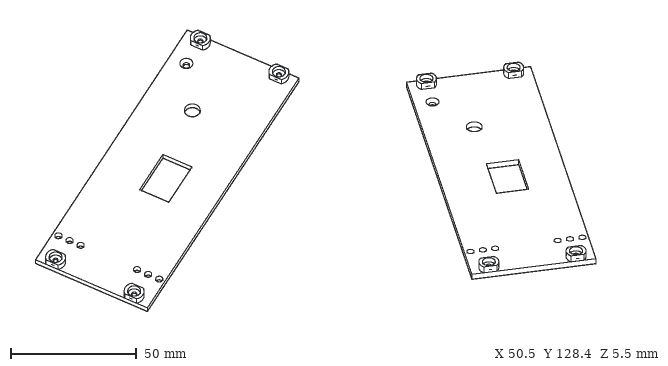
import cadquery as cq

PANEL_WIDTH = 50.5
PANEL_LENGTH = 128.4
TOTAL_HEIGHT = 5.5
PANEL_THICKNESS = 2.6

BOSS_DIAMETER = 8.0
BOSS_FLAT_WIDTH = 5.9
BOSS_HEIGHT = TOTAL_HEIGHT - PANEL_THICKNESS
BOSS_BORE_DIAMETER = 5.1
BOSS_FLOOR = 0.9
SCREW_HOLE_DIAMETER = 2.0
COLUMN_X = 17.7
BOSS_Y = PANEL_LENGTH / 2 - BOSS_FLAT_WIDTH / 2
BOSS_CENTRES = [(x, y) for x in (-COLUMN_X, COLUMN_X) for y in (-BOSS_Y, BOSS_Y)]

ROW_Y = -49.4
ROW_HOLE_DIAMETER = 2.8
ROW_HOLE_PITCH = 5.0
ROW_HOLE_CENTRES = [
    (side * COLUMN_X + step * ROW_HOLE_PITCH, ROW_Y)
    for side in (-1, 1)
    for step in (-1, 0, 1)
]

COUNTERSINK_CENTRE = (-COLUMN_X, -ROW_Y)
COUNTERSINK_DIAMETER = 5.1
COUNTERSINK_HOLE_DIAMETER = 2.7
COUNTERSINK_DEPTH = 1.3

ROUND_HOLE_CENTRE = (-4.8, 30.2)
ROUND_HOLE_DIAMETER = 6.3
WINDOW_CENTRE = (1.7, -4.4)
WINDOW_WIDTH = 13.1
WINDOW_LENGTH = 19.6


def through_holes(centres, diameter):
    """Cylinders that pass through the whole panel thickness."""
    return cq.Workplane("XY").pushPoints(centres).circle(diameter / 2).extrude(PANEL_THICKNESS)


def countersink():
    """Cone that narrows from the panel's top face down to its screw hole."""
    return (
        cq.Workplane("XY", origin=(*COUNTERSINK_CENTRE, PANEL_THICKNESS))
        .circle(COUNTERSINK_DIAMETER / 2)
        .workplane(offset=-COUNTERSINK_DEPTH)
        .circle(COUNTERSINK_HOLE_DIAMETER / 2)
        .loft()
    )


def window():
    """Rectangular opening near the middle of the panel."""
    return (
        cq.Workplane("XY")
        .center(*WINDOW_CENTRE)
        .rect(WINDOW_WIDTH, WINDOW_LENGTH)
        .extrude(PANEL_THICKNESS)
    )


def make_panel():
    """Flat panel with all of its openings."""
    plate = cq.Workplane("XY").rect(PANEL_WIDTH, PANEL_LENGTH).extrude(PANEL_THICKNESS)
    return (
        plate.cut(through_holes(BOSS_CENTRES, SCREW_HOLE_DIAMETER))
        .cut(through_holes(ROW_HOLE_CENTRES, ROW_HOLE_DIAMETER))
        .cut(through_holes([ROUND_HOLE_CENTRE], ROUND_HOLE_DIAMETER))
        .cut(through_holes([COUNTERSINK_CENTRE], COUNTERSINK_HOLE_DIAMETER))
        .cut(countersink())
        .cut(window())
    )


def make_boss(centre):
    """Boss standing on the panel, with a wide bore above a thin floor that has a screw hole."""
    base = cq.Workplane("XY", origin=(*centre, PANEL_THICKNESS))
    disc = base.circle(BOSS_DIAMETER / 2).extrude(BOSS_HEIGHT)
    between_flats = base.rect(BOSS_DIAMETER, BOSS_FLAT_WIDTH).extrude(BOSS_HEIGHT)
    screw_hole = base.circle(SCREW_HOLE_DIAMETER / 2).extrude(BOSS_HEIGHT)
    bore = (
        base.workplane(offset=BOSS_FLOOR)
        .circle(BOSS_BORE_DIAMETER / 2)
        .extrude(BOSS_HEIGHT - BOSS_FLOOR)
    )
    return disc.intersect(between_flats).cut(screw_hole).cut(bore)


panel = make_panel()
bosses = [make_boss(centre) for centre in BOSS_CENTRES]

result = cq.Compound.makeCompound([panel.val(), *[boss.val() for boss in bosses]])